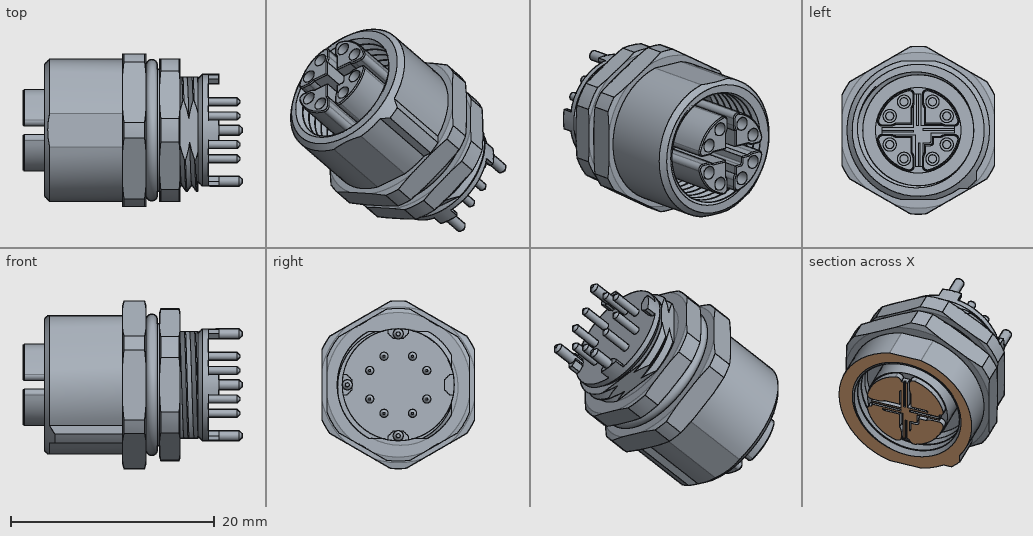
import cadquery as cq
import math


shell_front = 2.08
flange_front = 9.73
flange_back = 12.07
nut_front = 13.4
nut_back = 15.4
thread_end = 17.15
disc_front = 17.16
disc_back = 18.17
standoff_back = 19.2
signal_pin_end = 21.3
shield_pin_end = 21.5

shell_radius = 7.0
shell_flat_height = 6.8
shell_face_radius = 6.48
bore_radius = 5.45
bore_floor = 10.2
key_radius = 7.5
key_side = 5.73

flange_across_flats = 15.0
flange_corner_radius = 8.25
nut_across_flats = 14.0
nut_corner_radius = 7.5
hex_bevel_angle = 15.0
flange_bevel_radius = 7.65
nut_bevel_radius = 7.1

ring_section_radius = 0.55
ring_outer_radius = 6.95

thread_pitch = 1.0
thread_major_radius = 6.0
thread_minor_radius = 5.38
thread_flat = 5.25
thread_clearance = 0.05
thread_groove_half_width = 0.48
outer_thread_start = 14.3
outer_thread_turns = 4
inner_thread_start = 1.3
inner_thread_turns = 8

insert_radius = 4.12
insert_base_radius = 4.2
gap_half_width = 0.59
insert_outer_corner = 0.5
lobe_half_width = 0.4
insert_edge = 0.12
gap_floor = 7.0
contact_near = 1.4
contact_far = 2.8
socket_radius = 0.65
socket_depth = 1.5
contact_hole_radius = 0.4
contact_hole_depth = 4.5
code_notch = 1.4
code_notch_corner = 0.2

cross_half_length = 3.55
cross_half_width = 0.47
cross_height = 0.8
cross_groove_width = 0.17
cross_arm_offset = 0.25
coding_key_reach = 1.25

neck_radius = 5.07
disc_radius = 5.5
disc_chamfer = 0.43
standoff_inner = 4.55
standoff_half_width = 1.0
standoff_chamfer = 0.5
signal_pin_radius = 0.4
signal_pin_chamfer = 0.3
shield_pin_radius = 0.5
shield_pin_chamfer = 0.3
shield_pin_circle = 5.0

overlap = 0.3


def plane_at(x):
    """YZ sketch plane at station x: local x is Y, local y is Z, extruding toward +X."""
    return cq.Workplane("YZ", origin=(x, 0, 0))


def cylinder(x_start, x_end, radius, y=0.0, z=0.0):
    return plane_at(x_start).center(y, z).circle(radius).extrude(x_end - x_start)


def revolve_profile(points):
    """Revolve (x, radius) points about the connector axis."""
    return cq.Workplane("XY").polyline(points).close().revolve(360, (0, 0, 0), (1, 0, 0))


def block(x_range, y_range, z_range):
    size = [high - low for low, high in (x_range, y_range, z_range)]
    corner = (x_range[0], y_range[0], z_range[0])
    return cq.Workplane("XY").box(*size, centered=False).translate(corner)


def bevelled_hex(x_start, x_end, across_flats, corner_radius, bevel_radius):
    """Hexagon with corners on Z, trimmed by a cylinder with bevelled ends."""
    corner_diameter = across_flats / math.cos(math.pi / 6)
    prism = plane_at(x_start).transformed(rotate=(0, 0, 90)).polygon(6, corner_diameter)
    prism = prism.extrude(x_end - x_start)
    bevel = (corner_radius - bevel_radius) * math.tan(math.radians(hex_bevel_angle))
    trim = revolve_profile([
        (x_start, 0),
        (x_start, bevel_radius),
        (x_start + bevel, corner_radius),
        (x_end - bevel, corner_radius),
        (x_end, bevel_radius),
        (x_end, 0),
    ])
    return prism.intersect(trim)


def helical_groove(x_start, x_end, open_radius, root_radius):
    """Triangular thread groove, widest at open_radius and pointed at root_radius."""
    helix = cq.Wire.makeHelix(
        thread_pitch, x_end - x_start, root_radius, cq.Vector(x_start, 0, 0), cq.Vector(1, 0, 0)
    )
    start = helix.startPoint()
    radial = cq.Vector(0, start.y, start.z).normalized()
    section_plane = cq.Plane(origin=start, xDir=radial, normal=radial.cross(cq.Vector(1, 0, 0)))
    reach = open_radius - root_radius
    half_width = thread_groove_half_width
    section = cq.Workplane(section_plane)
    section = section.polyline([(0, 0), (reach, half_width), (reach, -half_width)]).close()
    return section.sweep(cq.Workplane(obj=helix), isFrenet=True)


def make_shell():
    """Flatted cylinder with a polarising rib at -Y -Z; both share one 45 degree front cone."""
    back = flange_front + overlap
    cone = key_radius - shell_face_radius
    envelope = revolve_profile([
        (shell_front, 0),
        (shell_front, shell_face_radius),
        (shell_front + cone, key_radius),
        (back, key_radius),
        (back, 0),
    ])
    flats = block(
        (shell_front, back),
        (-shell_radius, shell_radius),
        (-shell_flat_height, shell_flat_height),
    )
    barrel = cylinder(shell_front, back, shell_radius).intersect(flats)
    rib = block((shell_front, back), (-key_side, 0), (-key_side, 0))
    return envelope.intersect(barrel.union(rib))


def make_rear_body():
    """Threaded stub behind the flange, with two flats on Z and one on +Y."""
    body = cylinder(flange_back - overlap, thread_end, thread_major_radius)
    groove = helical_groove(
        outer_thread_start,
        outer_thread_start + outer_thread_turns * thread_pitch,
        thread_major_radius + thread_clearance,
        thread_minor_radius,
    )
    body = body.cut(groove)
    flats = block(
        (nut_back, thread_end), (-thread_major_radius, thread_flat), (-thread_flat, thread_flat)
    )
    return body.intersect(flats.union(cylinder(flange_back - overlap, nut_back, shell_radius)))


def make_oring():
    centre = (flange_back + ring_section_radius, ring_outer_radius - ring_section_radius)
    section = cq.Workplane("XY").center(*centre).circle(ring_section_radius)
    return section.revolve(360, (-centre[0], -centre[1], 0), (1 - centre[0], -centre[1], 0))


def cut_bore(body):
    """Bore with an internal thread running in from the front face."""
    bore = cylinder(shell_front, bore_floor, bore_radius)
    groove = helical_groove(
        inner_thread_start,
        inner_thread_start + inner_thread_turns * thread_pitch,
        bore_radius - thread_clearance,
        thread_major_radius,
    )
    return body.cut(bore).cut(groove)


def contact_positions(y_sign, z_sign):
    return [
        (y_sign * contact_near, z_sign * contact_far),
        (y_sign * contact_far, z_sign * contact_near),
    ]


def make_quadrant(y_sign, z_sign):
    """One quarter of the insert, its straight sides bulging into the gap past each contact."""
    bulge_radius = contact_near - lobe_half_width
    bulge_angle = math.acos((contact_near - gap_half_width) / bulge_radius)
    bulge_start = contact_far - bulge_radius * math.sin(bulge_angle)
    bulge_middle = (
        contact_near - bulge_radius * math.cos(bulge_angle / 2),
        contact_far - bulge_radius * math.sin(bulge_angle / 2),
    )
    corner_centre = (
        lobe_half_width + insert_outer_corner,
        math.sqrt((insert_radius - insert_outer_corner)**2 - (lobe_half_width + insert_outer_corner)**2),
    )
    outward = math.atan2(corner_centre[1], corner_centre[0])
    middle_angle = (outward + math.pi) / 2
    corner_middle = (
        corner_centre[0] + insert_outer_corner * math.cos(middle_angle),
        corner_centre[1] + insert_outer_corner * math.sin(middle_angle),
    )
    corner_end = (insert_radius * math.cos(outward), insert_radius * math.sin(outward))
    rim_middle = insert_radius * math.sqrt(0.5)

    def signed(point):
        return (y_sign * point[0], z_sign * point[1])

    def mirrored(point):
        return signed((point[1], point[0]))

    bulge_foot = (gap_half_width, bulge_start)
    bulge_top = (lobe_half_width, contact_far)
    corner_start = (lobe_half_width, corner_centre[1])
    outline = (
        plane_at(0)
        .moveTo(*signed((gap_half_width, gap_half_width)))
        .lineTo(*signed(bulge_foot))
        .threePointArc(signed(bulge_middle), signed(bulge_top))
        .lineTo(*signed(corner_start))
        .threePointArc(signed(corner_middle), signed(corner_end))
        .threePointArc(signed((rim_middle, rim_middle)), mirrored(corner_end))
        .threePointArc(mirrored(corner_middle), mirrored(corner_start))
        .lineTo(*mirrored(bulge_top))
        .threePointArc(mirrored(bulge_middle), mirrored(bulge_foot))
        .close()
    )
    return outline.extrude(gap_floor + overlap)


def cut_code_notch(quadrant):
    """Step the inner corner of the -Y -Z quadrant back for the coding key."""
    notch = block((0, gap_floor), (-code_notch, 0), (-code_notch, 0))
    notch = notch.edges("|X and <Y and <Z").fillet(code_notch_corner)
    return quadrant.cut(notch)


def cut_socket(quadrant, y, z):
    socket = cylinder(0, socket_depth, socket_radius, y, z)
    contact_hole = cylinder(0, contact_hole_depth, contact_hole_radius, y, z)
    return quadrant.cut(socket).cut(contact_hole)


def make_insert():
    insert = cylinder(gap_floor, bore_floor + overlap, insert_base_radius)
    for y_sign in (-1, 1):
        for z_sign in (-1, 1):
            quadrant = make_quadrant(y_sign, z_sign)
            if y_sign < 0 and z_sign < 0:
                quadrant = cut_code_notch(quadrant)
            quadrant = quadrant.faces("<X").chamfer(insert_edge)
            for y, z in contact_positions(y_sign, z_sign):
                quadrant = cut_socket(quadrant, y, z)
            insert = insert.union(quadrant)
    return insert


def make_shield_cross():
    """Pinwheel cross on the floor of the insert gaps, with grooved arms and a coding key."""
    x_range = (gap_floor - cross_height, gap_floor + overlap)
    hub = (-cross_half_width, cross_half_width)
    cross = block(x_range, hub, hub)
    arm = block(x_range, (0, cross_half_length), (-cross_half_width, cross_arm_offset))
    groove = block(
        (x_range[0], gap_floor - cross_height / 2),
        (cross_half_width, cross_half_length),
        (-cross_groove_width, 0),
    )
    for angle in (0, 90, 180, 270):
        cross = cross.union(arm.cut(groove).rotate((0, 0, 0), (1, 0, 0), angle))
    key = block(x_range, (-coding_key_reach, 0), (-coding_key_reach, 0))
    return cross.union(key.edges("|X and <Y and <Z").fillet(code_notch_corner))


def make_rear_disc():
    """Disc closing the threaded stub, with four stand-offs around its rim."""
    disc = cylinder(disc_front, standoff_back, disc_radius).faces("<X").chamfer(disc_chamfer)
    relief = cylinder(disc_back, standoff_back + overlap, disc_radius + overlap)
    standoff = block(
        (disc_back, standoff_back + overlap),
        (standoff_inner, disc_radius + overlap),
        (-standoff_half_width, standoff_half_width),
    ).edges("|X and <Y").chamfer(standoff_chamfer)
    for angle in (0, 90, 180, 270):
        relief = relief.cut(standoff.rotate((0, 0, 0), (1, 0, 0), angle))
    neck = cylinder(thread_end - overlap, disc_front + overlap, neck_radius)
    return disc.cut(relief).union(neck)


def make_pin(x_end, radius, chamfer, y, z):
    return cylinder(disc_back - overlap, x_end, radius, y, z).faces(">X").chamfer(chamfer)


def make_pins():
    """Eight signal pins in line with the contacts, and shield pins on three stand-offs."""
    pins = []
    for y_sign in (-1, 1):
        for z_sign in (-1, 1):
            for y, z in contact_positions(y_sign, z_sign):
                pins.append(make_pin(signal_pin_end, signal_pin_radius, signal_pin_chamfer, y, z))
    for y, z in ((-shield_pin_circle, 0), (0, shield_pin_circle), (0, -shield_pin_circle)):
        pins.append(make_pin(shield_pin_end, shield_pin_radius, shield_pin_chamfer, y, z))
    return pins


def make_part():
    flange = bevelled_hex(
        flange_front, flange_back, flange_across_flats, flange_corner_radius, flange_bevel_radius
    )
    part = cut_bore(make_shell().union(flange))
    part = part.union(make_rear_body())
    part = part.union(make_oring())
    part = part.union(
        bevelled_hex(nut_front, nut_back, nut_across_flats, nut_corner_radius, nut_bevel_radius)
    )
    part = part.union(make_insert()).union(make_shield_cross()).union(make_rear_disc())
    for pin in make_pins():
        part = part.union(pin)
    return part


result = make_part()